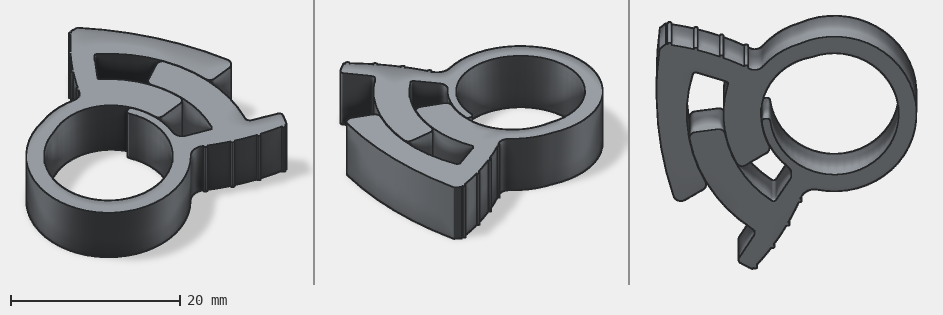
import cadquery as cq
import math


width = 7.3
clearance = 0.05

ring_radius = 9.73
bore_radius = 7.6

jaw_centre = (-0.4, 1.3)
jaw_outer_radius = 9.3

tongue_joint = 8.65
lower_joint = 13.12
upper_joint = 17.4
half_gap = clearance / 2

left_wall = 127.3
right_wall = 52.1
tongue_end = 105.5
left_arm_end = 78.1
right_arm_end = 101.7
lever_angle = 51.5

arm_root = (-14.6, 16.7)
arm_mid = (-6.43, 19.9)
arm_tip_radius = 21.85

lever_radius = 21.75

tooth_count = 4
tooth_radius = 0.25
left_grip_centre = (12.1, 29.62)
left_grip_radius = 30.33
left_grip_end = 207.0
left_first_tooth = 207.9
left_tooth_step = 6.0
right_grip_centre = (-11.0, 29.3)
right_grip_radius = 29.5
right_first_tooth = -28.5
right_tooth_step = -6.4

left_neck_fillet = 1.3
right_neck_fillet = 1.75
pocket_fillet = 0.37
tongue_root_fillet = 1.25
lever_root_fillet = 0.62
heel_fillet = 0.12
lever_tip_fillet = 0.47
tongue_tip_fillet = 0.4
arm_fillet = 0.75
arm_tip_fillet = 0.93


def polar(radius, angle, centre=(0, 0)):
    """Point at a radius and an angle in degrees about a centre."""
    a = math.radians(angle)
    return (centre[0] + radius * math.cos(a), centre[1] + radius * math.sin(a))


def angle_about(point, centre):
    """Direction in degrees from a centre to a point."""
    return math.degrees(math.atan2(point[1] - centre[1], point[0] - centre[0]))


def circles_meet(centre_a, radius_a, centre_b, radius_b, side):
    """Crossing of two circles, left (side 1) or right (side -1) of the line from a to b."""
    gap = math.dist(centre_a, centre_b)
    along = (gap**2 + radius_a**2 - radius_b**2) / (2 * gap)
    across = math.sqrt(radius_a**2 - along**2)
    ux = (centre_b[0] - centre_a[0]) / gap
    uy = (centre_b[1] - centre_a[1]) / gap
    return (
        centre_a[0] + along * ux - side * across * uy,
        centre_a[1] + along * uy + side * across * ux,
    )


def arc(outline, centre, radius, start_angle, end_angle):
    """Extend the outline along an arc about a centre, from one angle to another, in degrees."""
    middle = polar(radius, (start_angle + end_angle) / 2, centre)
    return outline.threePointArc(middle, polar(radius, end_angle, centre))


def round_corner(body, corner, radius):
    """Fillet the upright edge that stands at a corner of the outline."""
    place = (corner[0], corner[1], width / 2)
    return body.edges(cq.selectors.NearestToPointSelector(place)).fillet(radius)


def grip_teeth(centre, grip_radius, first_angle, step):
    """Small round ribs along a finger grip."""
    places = [polar(grip_radius, first_angle + i * step, centre) for i in range(tooth_count)]
    return cq.Workplane("XY").pushPoints(places).circle(tooth_radius).extrude(width)


axis = (0, 0)
jaw_start = circles_meet(axis, ring_radius, jaw_centre, jaw_outer_radius, 1)
left_neck = circles_meet(jaw_centre, jaw_outer_radius, left_grip_centre, left_grip_radius, 1)
right_neck = circles_meet(axis, ring_radius, right_grip_centre, right_grip_radius, -1)
lever_heel = circles_meet(axis, lever_radius, right_grip_centre, right_grip_radius, -1)

tongue_outer = tongue_joint - half_gap
lower_left_arm_inner = tongue_joint + half_gap
lower_left_arm_outer = lower_joint - half_gap
right_arm_inner = lower_joint + half_gap
right_arm_outer = upper_joint - half_gap
upper_left_arm_inner = upper_joint + half_gap

outline = cq.Workplane("XY").moveTo(*right_neck)
outline = arc(outline, axis, ring_radius, angle_about(right_neck, axis), angle_about(jaw_start, axis) - 360)
outline = arc(
    outline,
    jaw_centre,
    jaw_outer_radius,
    angle_about(jaw_start, jaw_centre) % 360,
    angle_about(left_neck, jaw_centre) % 360,
)
outline = arc(
    outline,
    left_grip_centre,
    left_grip_radius,
    angle_about(left_neck, left_grip_centre) % 360,
    left_grip_end,
)

outline = outline.lineTo(*arm_root)
outline = outline.threePointArc(arm_mid, polar(arm_tip_radius, left_arm_end))
outline = outline.lineTo(*polar(upper_left_arm_inner, left_arm_end))
outline = arc(outline, axis, upper_left_arm_inner, left_arm_end, left_wall)

outline = outline.lineTo(*polar(lower_left_arm_outer, left_wall))
outline = arc(outline, axis, lower_left_arm_outer, left_wall, left_arm_end)
outline = outline.lineTo(*polar(lower_left_arm_inner, left_arm_end))

jaw_top_angle = angle_about(jaw_centre, axis)
jaw_inner_radius = lower_left_arm_inner - math.dist(axis, jaw_centre)
jaw_foot = circles_meet(axis, bore_radius, jaw_centre, jaw_inner_radius, 1)
outline = arc(outline, axis, lower_left_arm_inner, left_arm_end, jaw_top_angle)
outline = arc(
    outline,
    jaw_centre,
    jaw_inner_radius,
    jaw_top_angle,
    angle_about(jaw_foot, jaw_centre) % 360,
)
outline = arc(outline, axis, bore_radius, angle_about(jaw_foot, axis) % 360 - 360, tongue_end)

outline = outline.lineTo(*polar(tongue_outer, tongue_end))
outline = arc(outline, axis, tongue_outer, tongue_end, right_wall)
outline = outline.lineTo(*polar(right_arm_inner, right_wall))
outline = arc(outline, axis, right_arm_inner, right_wall, right_arm_end)
outline = outline.lineTo(*polar(right_arm_outer, right_arm_end))
outline = arc(outline, axis, right_arm_outer, right_arm_end, lever_angle)

outline = outline.lineTo(*polar(lever_radius, lever_angle))
outline = arc(outline, axis, lever_radius, lever_angle, angle_about(lever_heel, axis))
outline = arc(
    outline,
    right_grip_centre,
    right_grip_radius,
    angle_about(lever_heel, right_grip_centre),
    angle_about(right_neck, right_grip_centre),
)
body = outline.close().extrude(width)

corners = [
    (left_neck, left_neck_fillet),
    (right_neck, right_neck_fillet),
    (arm_root, heel_fillet),
    (polar(arm_tip_radius, left_arm_end), arm_tip_fillet),
    (polar(upper_left_arm_inner, left_arm_end), arm_fillet),
    (polar(upper_left_arm_inner, left_wall), pocket_fillet),
    (polar(lower_left_arm_outer, left_wall), pocket_fillet),
    (polar(lower_left_arm_outer, left_arm_end), arm_fillet),
    (polar(lower_left_arm_inner, left_arm_end), arm_fillet),
    (polar(bore_radius, tongue_end), tongue_tip_fillet),
    (polar(tongue_outer, tongue_end), tongue_tip_fillet),
    (polar(tongue_outer, right_wall), tongue_root_fillet),
    (polar(right_arm_inner, right_wall), pocket_fillet),
    (polar(right_arm_inner, right_arm_end), arm_fillet),
    (polar(right_arm_outer, right_arm_end), arm_fillet),
    (polar(right_arm_outer, lever_angle), lever_root_fillet),
    (polar(lever_radius, lever_angle), lever_tip_fillet),
]
for corner, radius in corners:
    body = round_corner(body, corner, radius)

left_teeth = grip_teeth(left_grip_centre, left_grip_radius, left_first_tooth, left_tooth_step)
right_teeth = grip_teeth(right_grip_centre, right_grip_radius, right_first_tooth, right_tooth_step)

result = body.union(left_teeth).union(right_teeth)